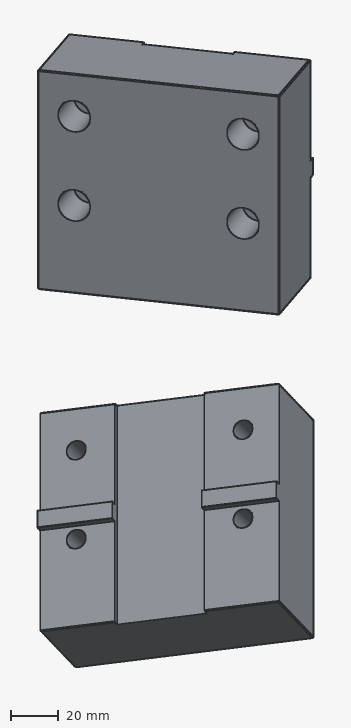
import cadquery as cq

width = 106.0
height = 98.5
overall_depth = 48.8
key_projection = 3.6
body_depth = overall_depth - key_projection
edge_chamfer = 0.5

key_height = 7.7
key_chamfer = 0.2

channel_width = 39.8
channel_depth = 2.9

hole_diameter = 8.5
counterbore_diameter = 14.0
counterbore_depth = body_depth / 2
hole_spacing_x = 74.0
hole_spacing_z = 40.0
upper_hole_z = 30.2
hole_centre_z = upper_hole_z - hole_spacing_z / 2


def make_body():
    """Rectangular block with all edges chamfered except the upright back ones."""
    block = cq.Workplane("XY").box(width, body_depth, height, centered=(True, False, True))
    return block.edges("not (|Z and >Y)").chamfer(edge_chamfer)


def make_key():
    """Full-width key, rooted in the body past its chamfered back edges."""
    key = cq.Workplane("XY").box(
        width, key_projection + edge_chamfer, key_height, centered=(True, False, True)
    )
    key = key.translate((0, body_depth - edge_chamfer, 0))
    return key.faces(">Y").edges("|X").chamfer(key_chamfer)


def make_channel():
    """Cutter for the channel, running the full height of the block."""
    channel = cq.Workplane("XY").box(
        channel_width, channel_depth + key_projection, height, centered=(True, False, True)
    )
    return channel.translate((0, body_depth - channel_depth, 0))


def make_screw_holes():
    """Cutters for the four through holes and their counterbores."""
    pattern = (
        cq.Workplane("XZ")
        .center(0, hole_centre_z)
        .rarray(hole_spacing_x, hole_spacing_z, 2, 2)
    )
    holes = pattern.circle(hole_diameter / 2).extrude(-body_depth)
    counterbores = pattern.circle(counterbore_diameter / 2).extrude(-counterbore_depth)
    return holes.union(counterbores)


result = make_body().union(make_key()).cut(make_channel()).cut(make_screw_holes())